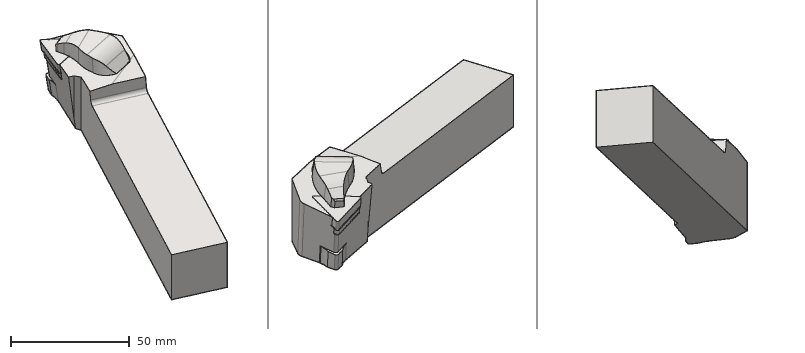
import cadquery as cq
import math

total_length = 149.5
shank_size = 25.0

seat_tilt = 6.0
seat_height = 26.0
seat_slope = math.tan(math.radians(seat_tilt))
seat = cq.Plane(origin=(0, 0, seat_height), xDir=(1, 0, seat_slope), normal=(-seat_slope, -seat_slope, 1))

clear = 59.8

head_top = 31.7
step_x = 44.1
step_lean = 13.0
step_fillet = 2.1

shoulder_x = 30.8
shoulder_lean = 7.0
shoulder_chamfer = 2.4

front_left = (1.2, -6.1)
front_right = (35.9, -4.5)
back_left = (2.5, 13.2)
chamfer_back = (14.2, shank_size)
nose_fillet = 1.2
back_fillet = 4.8

boss_depth = 17.8
boss_thickness = 1.0
boss_reach = 3.6
boss_run_out = 5.0

insert_tip = (-0.5, -7.2)
insert_turn = 3.4
insert_side = 21.5
insert_thickness = 4.8
insert_corner_radius = 0.7
shim_inset = 0.37
shim_side = 21.5
shim_thickness = 3.1
shim_corner_radius = 1.2

clamp_height = 7.8
tip_ridge = (23.2, 3.5)
tip_direction = 230.0
tip_radius = 18.0
tip_curve_run = 7.5
tip_bevel = 0.6
rear_ridge = (30.0, 4.8)
rear_direction = 33.0
rear_radius = 11.5
rear_curve_run = 8.5
slope_reach = 18.0

clamp_base = [
    (7.5, -0.6), (7.2, 1.2), (10.2, 6.5), (14.8, 13.9), (23.0, 20.3), (36.6, 18.7), (32.6, 5.5),
    (27.8, 3.3), (23.3, 2.2), (19.0, 1.0), (14.3, -1.0), (11.7, -3.0), (10.5, -3.5),
]
clamp_crown = [
    (8.2, -0.1), (8.0, 1.0), (10.9, 6.1), (15.4, 13.5), (23.3, 19.6), (33.8, 16.1), (32.5, 6.3),
    (27.8, 4.2), (23.6, 3.3), (19.0, 2.0), (14.2, -0.1), (11.4, -2.2), (10.5, -2.5),
]


def on_seat(x, y):
    """Seat coordinates of the seat point that lies at plan position (x, y)."""
    local = seat.toLocalCoords(cq.Vector(x, y, seat_height + seat_slope * (x + y)))
    return (local.x, local.y)


def placed(flat):
    """Moves a shape built around the XY plane onto the tilted seat."""
    return cq.Workplane(flat.val().moved(cq.Location(seat)))


def angle_between(start, end):
    """Direction in degrees from one plan point to another."""
    return math.degrees(math.atan2(end[1] - start[1], end[0] - start[0]))


def make_side_profile():
    """The bar seen from the front: raised over the head, with a leaning, filleted step."""
    step_foot = step_x + (head_top - shank_size) * math.tan(math.radians(step_lean))
    profile = [
        (-clear, 0), (total_length, 0), (total_length, shank_size),
        (step_foot, shank_size), (step_x, head_top), (-clear, head_top),
    ]
    bar = cq.Workplane("XZ").polyline(profile).close().extrude(clear, both=True)
    step_corner = cq.selectors.NearestToPointSelector((step_foot, 0, shank_size))
    return bar.edges(step_corner).fillet(step_fillet)


def make_plan_profile():
    """The bar seen from above: open towards the nose, with the chamfered shoulder in front."""
    shoulder_run = (clear - shoulder_chamfer) * math.tan(math.radians(shoulder_lean))
    plan = [
        (-clear, shank_size), (-clear, -clear), (shoulder_x - shoulder_run, -clear),
        (shoulder_x, -shoulder_chamfer), (shoulder_x + shoulder_chamfer, 0),
        (total_length, 0), (total_length, shank_size),
    ]
    return cq.Workplane("XY").polyline(plan).close().extrude(head_top)


def make_tilted_walls():
    """Space below the seat and inside the head walls, which stand square to the seat."""
    chamfer_slope = (chamfer_back[1] - back_left[1]) / (chamfer_back[0] - back_left[0])
    far_back = (back_left[0] + clear, back_left[1] + clear * chamfer_slope)
    far_right = total_length + clear
    corners = [
        front_left, front_right, (front_right[0], -clear), (far_right, -clear),
        (far_right, far_back[1]), far_back, back_left,
    ]
    outline = [on_seat(x, y) for x, y in corners]
    walls = cq.Workplane("XY").polyline(outline).close().extrude(-clear)
    for corner, radius in [(front_left, nose_fillet), (back_left, back_fillet)]:
        edge = cq.selectors.NearestToPointSelector((*on_seat(*corner), -clear / 2))
        walls = walls.edges(edge).fillet(radius)
    return walls


def make_boss_arm(wall_angle, side):
    """One arm of the boss: a strip along a wall that curves back into the wall at its end."""
    arm_end = boss_reach + boss_run_out
    bend = (boss_reach + boss_run_out / 2, side * boss_thickness / 4)
    arm = (
        cq.Workplane("XY")
        .lineTo(0, side * boss_thickness)
        .lineTo(boss_reach, side * boss_thickness)
        .threePointArc(bend, (arm_end, 0))
        .lineTo(boss_reach, -side * boss_thickness)
        .lineTo(boss_thickness, -side * boss_thickness)
        .close()
        .extrude(-clear)
    )
    return arm.rotate((0, 0, 0), (0, 0, 1), wall_angle)


def make_boss():
    front_arm = make_boss_arm(angle_between(front_left, front_right), -1)
    left_arm = make_boss_arm(angle_between(front_left, back_left), 1)
    nose = cq.Workplane("XY").circle(boss_thickness).extrude(-clear)
    boss = nose.union(front_arm).union(left_arm)
    return boss.translate((*on_seat(*front_left), -boss_depth))


def make_triangle(side, inset, depth, thickness, corner_radius):
    """A rounded triangular plate, inset from the insert tip, its top at a depth below the seat."""
    plate = (
        cq.Workplane("XY")
        .polyline([(0, 0), (side, 0), (side / 2, side * math.sqrt(3) / 2)])
        .close()
        .extrude(-thickness)
        .edges("|Z")
        .fillet(corner_radius)
    )
    plate = plate.translate((math.sqrt(3) * inset, inset, -depth))
    return plate.rotate((0, 0, 0), (0, 0, 1), insert_turn).translate((*on_seat(*insert_tip), 0))


def make_shim():
    return make_triangle(shim_side, shim_inset, insert_thickness, shim_thickness, shim_corner_radius)


def make_insert():
    return placed(make_triangle(insert_side, 0, 0, insert_thickness, insert_corner_radius))


def make_clamp_outline(plan_points, height):
    """A closed outline of lines and arcs at a height above the seat."""
    points = [cq.Vector(*on_seat(x, y), height) for x, y in plan_points]
    (tip_left, tip_side, flank_left, bulge_left, head_left, head_rear, head_right,
     bulge_right, waist, hollow, neck, flank_right, tip_right) = points
    return cq.Wire.assembleEdges([
        cq.Edge.makeLine(tip_left, tip_side),
        cq.Edge.makeLine(tip_side, flank_left),
        cq.Edge.makeThreePointArc(flank_left, bulge_left, head_left),
        cq.Edge.makeThreePointArc(head_left, head_rear, head_right),
        cq.Edge.makeThreePointArc(head_right, bulge_right, waist),
        cq.Edge.makeThreePointArc(waist, hollow, neck),
        cq.Edge.makeLine(neck, flank_right),
        cq.Edge.makeLine(flank_right, tip_right),
        cq.Edge.makeLine(tip_right, tip_left),
    ])


def make_clamp_top(ridge, direction, radius, curve_run):
    """Space below a level top that bends down over a curve into a straight slope."""
    bend_angle = math.asin(curve_run / radius)
    bend_middle = (
        radius * math.sin(bend_angle / 2),
        clamp_height - radius * (1 - math.cos(bend_angle / 2)),
    )
    bend_end = (curve_run, clamp_height - radius * (1 - math.cos(bend_angle)))
    slope_end = (slope_reach, bend_end[1] - (slope_reach - curve_run) * math.tan(bend_angle))
    space = (
        cq.Workplane("XZ")
        .moveTo(-clear, clamp_height)
        .lineTo(0, clamp_height)
        .threePointArc(bend_middle, bend_end)
        .lineTo(*slope_end)
        .lineTo(slope_reach, -clear)
        .lineTo(-clear, -clear)
        .close()
        .extrude(clear, both=True)
    )
    return space.rotate((0, 0, 0), (0, 0, 1), direction).translate((*ridge, 0))


def make_clamp():
    base = make_clamp_outline(clamp_base, 0)
    crown = make_clamp_outline(clamp_crown, clamp_height)
    clamp = cq.Workplane(cq.Solid.makeLoft([base, crown], True))
    clamp = clamp.intersect(make_clamp_top(tip_ridge, tip_direction, tip_radius, tip_curve_run))
    clamp = clamp.intersect(make_clamp_top(rear_ridge, rear_direction, rear_radius, rear_curve_run))
    tip_x = (clamp_crown[0][0] + clamp_crown[-1][0]) / 2
    tip_y = (clamp_crown[0][1] + clamp_crown[-1][1]) / 2
    tip_edge = cq.selectors.NearestToPointSelector((*on_seat(tip_x, tip_y), clamp_height / 2))
    return clamp.edges(tip_edge).chamfer(tip_bevel)


def make_holder(insert):
    """Shank, head, boss, shim and clamp in one solid, with a pocket that fits the insert."""
    block = make_side_profile().intersect(make_plan_profile())
    tilted = make_tilted_walls().union(make_boss()).union(make_shim())
    return block.intersect(placed(tilted)).union(placed(make_clamp())).cut(insert)


insert = make_insert()
holder = make_holder(insert)

result = cq.Compound.makeCompound([*holder.solids().vals(), *insert.solids().vals()])